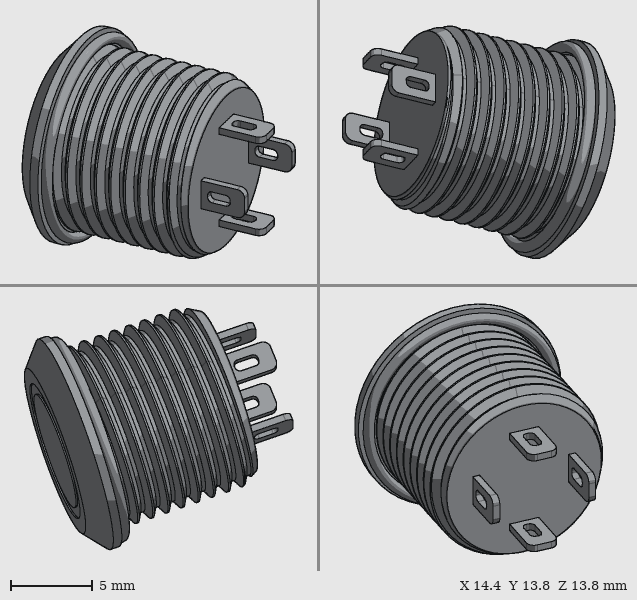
import cadquery as cq
import math

flange_diameter = 13.75
flange_radius = flange_diameter / 2
face_radius = 5.4
bevel_length = 1.27
flange_length = 1.83

groove_outer_radius = 4.4
groove_inner_radius = 3.7
groove_depth = 0.1

shaft_end = 11.39
root_radius = 5.33
full_turn_count = 8
full_turns_length = 7.99
pitch = full_turns_length / full_turn_count
crest_x_at_top = 3.05
flank_angle = 30
crest_width = pitch / 8
root_width = pitch / 4
thread_height = (pitch - crest_width - root_width) / 2 / math.tan(math.radians(flank_angle))
crest_radius = root_radius + thread_height
tip_radius = 5.24
tip_chamfer_angle = 30
thread_burial = 0.06
turns_before_first_crest = 2
thread_clearance = 0.15

overall_length = 14.4
terminal_width = 1.97
terminal_thickness = 0.46
terminal_offset = 3.25
terminal_corner_radius = 0.5
terminal_count = 4
slot_length = 1.55
slot_width = 0.76
slot_corner_radius = 0.32
slot_center = 12.63

seal_section_radius = 0.35
seal_outer_radius = 6.68


def revolve_about_x(profile):
    return profile.close().revolve(360, (0, 0, 0), (1, 0, 0))


def make_flange():
    flange = revolve_about_x(
        cq.Workplane("XY")
        .lineTo(0, face_radius)
        .lineTo(bevel_length, flange_radius)
        .lineTo(flange_length, flange_radius)
        .lineTo(flange_length, 0)
    )
    groove = (
        cq.Workplane("YZ")
        .circle(groove_outer_radius)
        .circle(groove_inner_radius)
        .extrude(groove_depth)
    )
    return flange.cut(groove)


def tip_chamfer_start(radius):
    return shaft_end - (radius - tip_radius) / math.tan(math.radians(tip_chamfer_angle))


def make_chamfered_cylinder(radius):
    return revolve_about_x(
        cq.Workplane("XY")
        .moveTo(flange_length, 0)
        .lineTo(flange_length, radius)
        .lineTo(tip_chamfer_start(radius), radius)
        .lineTo(shaft_end, tip_radius)
        .lineTo(shaft_end, 0)
    )


def make_thread_turn():
    base_radius = root_radius - thread_burial
    base_half_width = (pitch - root_width) / 2 + thread_burial * math.tan(math.radians(flank_angle))
    helix = cq.Wire.makeHelix(pitch, pitch, root_radius)
    turn = (
        cq.Workplane("XZ")
        .moveTo(base_radius, -base_half_width)
        .lineTo(crest_radius, -crest_width / 2)
        .lineTo(crest_radius, crest_width / 2)
        .lineTo(base_radius, base_half_width)
        .close()
        .sweep(cq.Workplane(obj=helix), isFrenet=True)
    )
    return turn.rotate((0, 0, 0), (0, 1, 0), 90).rotate((0, 0, 0), (1, 0, 0), 180).val()


def make_thread():
    start_x = crest_x_at_top - turns_before_first_crest * pitch
    turn_count = math.ceil((shaft_end - start_x) / pitch) + 1
    turn = make_thread_turn()
    turns = [turn.translate(cq.Vector(start_x + index * pitch, 0, 0)) for index in range(turn_count)]
    ridge = turns[0].fuse(*turns[1:], glue=True)
    return make_chamfered_cylinder(crest_radius + thread_clearance).intersect(cq.Workplane(obj=ridge))


def make_terminal(angle):
    length = overall_length - shaft_end
    blade = (
        cq.Workplane("XY")
        .box(length, terminal_width, terminal_thickness)
        .edges("|Z and >X")
        .fillet(terminal_corner_radius)
        .translate((shaft_end + length / 2, 0, 0))
    )
    slot = (
        cq.Workplane("XY")
        .box(slot_length, slot_width, 2 * terminal_thickness)
        .edges("|Z")
        .fillet(slot_corner_radius)
        .translate((slot_center, 0, 0))
    )
    blade = blade.cut(slot).translate((0, 0, terminal_offset))
    return blade.rotate((0, 0, 0), (1, 0, 0), angle)


def make_switch():
    switch = make_flange().union(make_chamfered_cylinder(root_radius))
    for index in range(terminal_count):
        switch = switch.union(make_terminal(index * 360 / terminal_count))
    return switch.union(make_thread())


def make_seal():
    center = cq.Vector(flange_length + seal_section_radius, 0, 0)
    ring_radius = seal_outer_radius - seal_section_radius
    return cq.Solid.makeTorus(ring_radius, seal_section_radius, center, cq.Vector(1, 0, 0))


switch = make_switch()
seal = make_seal()
result = cq.Compound.makeCompound([switch.val(), seal])